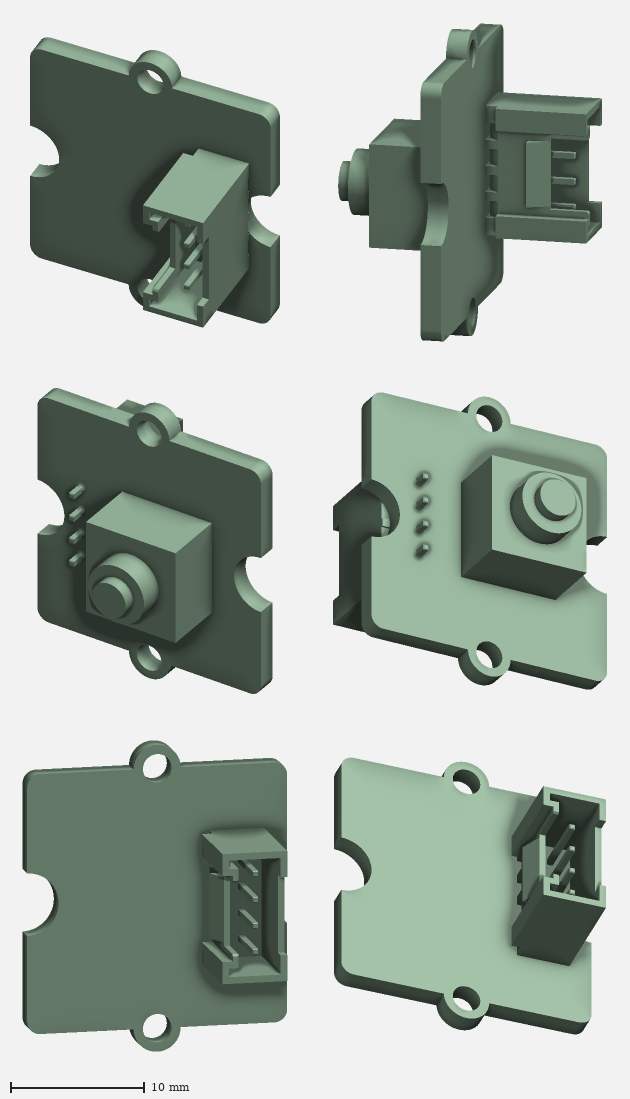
import cadquery as cq
import math

board_side = 20.0
board_thickness = 1.6
board_corner_radius = 1.0
notch_radius = 2.4
tab_diameter = 3.6
tab_hole_diameter = 2.2

button_center_x = -1.6
button_body_side = 8.0
button_body_depth = 5.0
collar_diameter = 5.0
collar_depth = 2.0
plunger_diameter = 3.0
plunger_depth = 1.0

housing_left = 3.2
housing_width = 5.0
housing_height = 10.0
housing_depth = 8.0
housing_right = housing_left + housing_width
wall = 0.52
recessed_wall = 0.45
floor_thickness = 1.5
recess_depth = 0.8
end_rim_height = 1.7
recess_height = housing_height - 2 * end_rim_height
foot_depth = 1.0

left_opening_height = 5.52
left_opening_floor = 5.0
left_opening_chamfer = 0.15
right_opening_height = 6.0
right_opening_floor = 7.0

latch_height = 5.0
latch_start = 3.35
latch_reach = 0.75

pin_count = 4
pin_pitch = 2.0
pin_side = 0.45
pin_x = housing_right - 2.12
pin_front_length = 6.5
pin_back_length = 1.37
pin_tip_chamfer = 0.07
solder_diameter = 1.2
solder_top_diameter = 0.47

relief_height = 1.32
relief_gap = 0.2

recessed_face_x = housing_left + recess_depth
pin_heights = [(i - (pin_count - 1) / 2) * pin_pitch for i in range(pin_count)]


def box(x_range, y_range, z_range):
    """Axis-aligned block between the given pairs of limits."""
    size = [high - low for low, high in (x_range, y_range, z_range)]
    corner = cq.Vector(x_range[0], y_range[0], z_range[0])
    return cq.Workplane("XY").box(*size, centered=False).translate(corner)


def centered(length):
    """Limits of a length centred on zero."""
    return (-length / 2, length / 2)


def rod(diameter, x, z, y_start, length):
    """Cylinder along +Y starting at y_start."""
    return cq.Workplane("XZ", origin=(x, y_start, z)).circle(diameter / 2).extrude(-length)


def plan_prism(points, z_center, height):
    """Prism along Z over an outline in X and Y."""
    return cq.Workplane("XY").workplane(offset=z_center - height / 2).polyline(points).close().extrude(height)


def pin_shaft(z):
    """Square contact shaft, without its tip chamfers or solder."""
    return box(
        (pin_x - pin_side / 2, pin_x + pin_side / 2),
        (-pin_front_length, board_thickness + pin_back_length),
        (z - pin_side / 2, z + pin_side / 2),
    )


def make_board():
    half = board_side / 2
    board = box(centered(board_side), (0, board_thickness), centered(board_side))
    board = board.edges("|Y").fillet(board_corner_radius)
    for side in (-1, 1):
        board = board.union(rod(tab_diameter, 0, side * half, 0, board_thickness))
    for side in (-1, 1):
        board = board.cut(rod(tab_hole_diameter, 0, side * half, 0, board_thickness))
        board = board.cut(rod(2 * notch_radius, side * half, 0, 0, board_thickness))
    for z in pin_heights:
        board = board.cut(pin_shaft(z))
    return board


def make_button():
    body_back = board_thickness + button_body_depth
    collar_back = body_back + collar_depth
    body_x = [button_center_x + limit for limit in centered(button_body_side)]
    body = box(body_x, (board_thickness, body_back), centered(button_body_side))
    collar = rod(collar_diameter, button_center_x, 0, body_back, collar_depth)
    plunger = rod(plunger_diameter, button_center_x, 0, collar_back, plunger_depth)
    return body.union(collar).union(plunger)


def make_shell():
    """Housing block with its recessed left wall and a cavity that follows it at wall thickness."""
    shell = box((housing_left, housing_right), (-housing_depth, 0), centered(housing_height))
    shell = shell.cut(box((housing_left, recessed_face_x), (-housing_depth, 0), centered(recess_height)))
    shell = shell.cut(box((housing_left, recessed_face_x), (-foot_depth, 0), centered(housing_height)))
    cavity_y = (-housing_depth, -floor_thickness)
    cavity = box(
        (housing_left + wall, housing_right - wall), cavity_y, centered(housing_height - 2 * wall)
    )
    step = box(
        (housing_left + wall, recessed_face_x + recessed_wall), cavity_y, centered(recess_height + 2 * wall)
    )
    return shell.cut(cavity.cut(step))


def left_opening():
    """Opening in the recessed wall, with chamfered mouth corners."""
    half = left_opening_height / 2
    mouth_half = half + left_opening_chamfer
    profile = [
        (-left_opening_floor, -half),
        (-left_opening_floor, half),
        (left_opening_chamfer - housing_depth, half),
        (-housing_depth, mouth_half),
        (-housing_depth, -mouth_half),
        (left_opening_chamfer - housing_depth, -half),
    ]
    return cq.Workplane("YZ", origin=(recessed_face_x, 0, 0)).polyline(profile).close().extrude(recessed_wall)


def right_opening():
    return box(
        (housing_right - wall, housing_right),
        (-housing_depth, -right_opening_floor),
        centered(right_opening_height),
    )


def latch():
    """Wedge whose catch faces the board and whose ramp faces the mouth."""
    outline = [
        (recessed_face_x, -latch_start),
        (recessed_face_x - latch_reach, -latch_start),
        (recessed_face_x, -left_opening_floor),
    ]
    return plan_prism(outline, 0, latch_height)


def pin_relief(z):
    """Gap under the housing that widens in a 45 degree ramp towards the recessed wall."""
    outline = [
        (recessed_face_x, 0),
        (recessed_face_x, -foot_depth),
        (recessed_face_x + foot_depth - relief_gap, -relief_gap),
        (housing_right, -relief_gap),
        (housing_right, 0),
    ]
    return plan_prism(outline, z, relief_height)


def make_housing():
    housing = make_shell().cut(left_opening()).cut(right_opening()).union(latch())
    for z in pin_heights:
        housing = housing.cut(pin_relief(z)).cut(pin_shaft(z))
    return housing


def solder_skirt(z):
    """Concave round skirt around the pin on the back of the board."""
    base_radius = solder_diameter / 2
    top_radius = solder_top_diameter / 2
    sweep = base_radius - top_radius
    bulge = sweep * (1 - math.sqrt(0.5))
    profile = (
        cq.Workplane("XY", origin=(pin_x, board_thickness, z))
        .lineTo(base_radius, 0)
        .threePointArc((top_radius + bulge, bulge), (top_radius, sweep))
        .lineTo(0, sweep)
        .close()
    )
    return profile.revolve(360, (0, 0, 0), (0, 1, 0))


def make_pin(z):
    shaft = pin_shaft(z).faces("<Y or >Y").chamfer(pin_tip_chamfer)
    return shaft.union(solder_skirt(z))


board = make_board()
button = make_button()
housing = make_housing()
pins = [make_pin(z) for z in pin_heights]

result = cq.Compound.makeCompound([board.val(), button.val(), housing.val(), *[pin.val() for pin in pins]])